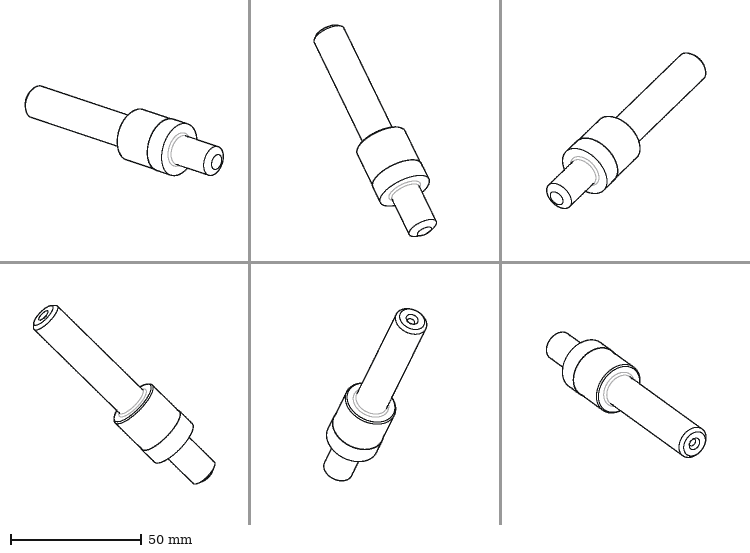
import cadquery as cq
import math

total_length = 93.0
collar_start = 50.8
band_start = 66.65
collar_end = 74.0

shank_diameter = 12.7
collar_diameter = 20.45
band_diameter = 20.8
pilot_diameter = 11.6
pilot_tip_diameter = 5.95

shank_chamfer = 1.3
collar_chamfer = 0.6
root_fillet = 0.8
pilot_chamfer_length = 1.6

countersink_diameter = 4.8
countersink_angle = 60.0
drill_diameter = 3.1
drill_length = 2.8
drill_point_angle = 120.0


def cone_length(radius_change, included_angle):
    """Axial length of a cone with the given change in radius."""
    return radius_change / math.tan(math.radians(included_angle / 2))


def turned_body():
    """Revolve the stepped outer profile, with concave fillets at both collar faces."""
    shank_radius = shank_diameter / 2
    collar_radius = collar_diameter / 2
    band_radius = band_diameter / 2
    pilot_radius = pilot_diameter / 2
    arc_offset = root_fillet * (1 - math.sqrt(0.5))
    profile = (
        cq.Workplane("XY")
        .moveTo(0, 0)
        .lineTo(0, shank_radius - shank_chamfer)
        .lineTo(shank_chamfer, shank_radius)
        .lineTo(collar_start - root_fillet, shank_radius)
        .threePointArc(
            (collar_start - arc_offset, shank_radius + arc_offset),
            (collar_start, shank_radius + root_fillet),
        )
        .lineTo(collar_start, collar_radius - collar_chamfer)
        .lineTo(collar_start + collar_chamfer, collar_radius)
        .lineTo(band_start, collar_radius)
        .lineTo(band_start, band_radius)
        .lineTo(collar_end, band_radius)
        .lineTo(collar_end, pilot_radius + root_fillet)
        .threePointArc(
            (collar_end + arc_offset, pilot_radius + arc_offset),
            (collar_end + root_fillet, pilot_radius),
        )
        .lineTo(total_length - pilot_chamfer_length, pilot_radius)
        .lineTo(total_length, pilot_tip_diameter / 2)
        .lineTo(total_length, 0)
        .close()
    )
    return profile.revolve(360, (0, 0, 0), (1, 0, 0))


def centre_hole():
    """Cutter for the countersunk centre hole with a conical bottom."""
    mouth_radius = countersink_diameter / 2
    drill_radius = drill_diameter / 2
    countersink_depth = cone_length(mouth_radius - drill_radius, countersink_angle)
    drill_end = countersink_depth + drill_length
    tip = drill_end + cone_length(drill_radius, drill_point_angle)
    outline = [
        (0, 0),
        (0, mouth_radius),
        (countersink_depth, drill_radius),
        (drill_end, drill_radius),
        (tip, 0),
    ]
    return cq.Workplane("XY").polyline(outline).close().revolve(360, (0, 0, 0), (1, 0, 0))


result = turned_body().cut(centre_hole())
result = result.translate((-total_length / 2, 0, 0))